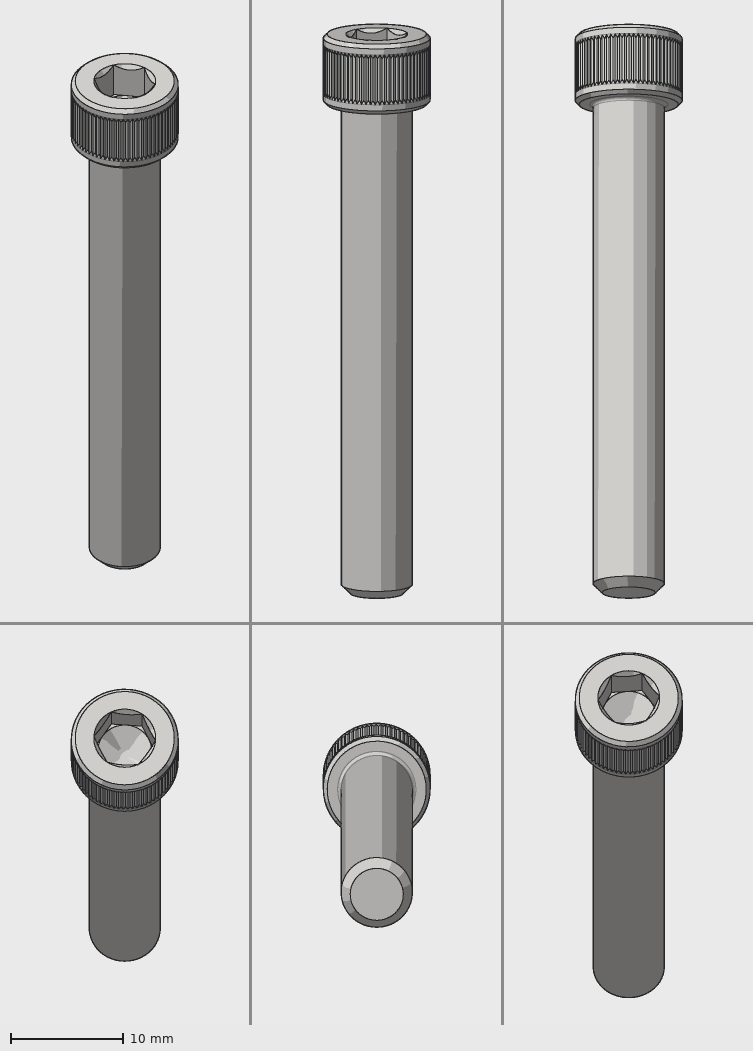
import cadquery as cq
import math

total_length = 50.8
shank_diameter = 6.35
head_diameter = 1.5 * shank_diameter
head_height = shank_diameter

head_chamfer = 0.35
shank_tip_chamfer = 0.8
neck_fillet = 0.3

socket_across_flats = 0.75 * shank_diameter
socket_depth = head_height / 2
socket_point_angle = 120.0
lead_in_depth = 0.4

groove_count = 72
groove_depth = 0.085
groove_runout = 0.35
knurl_inset = 0.9

shank_radius = shank_diameter / 2
head_radius = head_diameter / 2
head_bottom = total_length - head_height
rim_radius = head_radius - head_chamfer
socket_flat_radius = socket_across_flats / 2
socket_corner_radius = socket_flat_radius / math.cos(math.pi / 6)


def polar_point(radius, angle):
    """Point in the XY plane at an angle in radians from +X."""
    return (radius * math.cos(angle), radius * math.sin(angle))


def revolve_about_z(half_profile):
    """Close a half profile drawn in the XZ plane and turn it about Z."""
    return half_profile.close().revolve(360, (0, 0, 0), (0, 1, 0))


def make_body():
    """Head and shank, with a filleted neck between them."""
    arc_inset = neck_fillet * (1 - math.sqrt(0.5))
    half_profile = (
        cq.Workplane("XZ")
        .lineTo(shank_radius - shank_tip_chamfer, 0)
        .lineTo(shank_radius, shank_tip_chamfer)
        .lineTo(shank_radius, head_bottom - neck_fillet)
        .threePointArc(
            (shank_radius + arc_inset, head_bottom - arc_inset),
            (shank_radius + neck_fillet, head_bottom),
        )
        .lineTo(rim_radius, head_bottom)
        .lineTo(head_radius, head_bottom + head_chamfer)
        .lineTo(head_radius, total_length - head_chamfer)
        .lineTo(rim_radius, total_length)
        .lineTo(0, total_length)
    )
    return revolve_about_z(half_profile)


def make_socket():
    """Hexagon with two flats facing X, a pointed bottom and a lead-in cone."""
    socket_bottom = total_length - socket_depth
    point_depth = socket_flat_radius / math.tan(math.radians(socket_point_angle / 2))
    hexagon = (
        cq.Workplane("XY", origin=(0, 0, socket_bottom))
        .transformed(rotate=(0, 0, 90))
        .polygon(6, 2 * socket_corner_radius)
        .extrude(socket_depth)
    )
    point = revolve_about_z(
        cq.Workplane("XZ", origin=(0, 0, socket_bottom))
        .lineTo(socket_flat_radius, 0)
        .lineTo(0, -point_depth)
    )
    lead_in = revolve_about_z(
        cq.Workplane("XZ", origin=(0, 0, total_length))
        .lineTo(socket_corner_radius, 0)
        .lineTo(socket_flat_radius, -lead_in_depth)
        .lineTo(0, -lead_in_depth)
    )
    return hexagon.union(point).union(lead_in)


def make_knurl_cutter():
    """Ring of adjoining V grooves whose ends slope out to the head surface."""
    knurl_bottom = head_bottom + knurl_inset
    knurl_top = total_length - knurl_inset
    root_radius = head_radius - groove_depth
    half_pitch = math.pi / groove_count

    toothed_outline = []
    for tooth in range(groove_count):
        root_angle = 2 * tooth * half_pitch
        toothed_outline.append(polar_point(root_radius, root_angle))
        toothed_outline.append(polar_point(head_radius, root_angle + half_pitch))
    toothed_core = (
        cq.Workplane("XY", origin=(0, 0, head_bottom))
        .polyline(toothed_outline)
        .close()
        .extrude(head_height)
    )

    ring = revolve_about_z(
        cq.Workplane("XZ")
        .moveTo(root_radius - groove_depth, knurl_bottom + 2 * groove_runout)
        .lineTo(head_radius + groove_depth, knurl_bottom - groove_runout)
        .lineTo(head_radius + groove_depth, knurl_top + groove_runout)
        .lineTo(root_radius - groove_depth, knurl_top - 2 * groove_runout)
    )
    return ring.cut(toothed_core)


result = make_body().cut(make_socket()).cut(make_knurl_cutter())